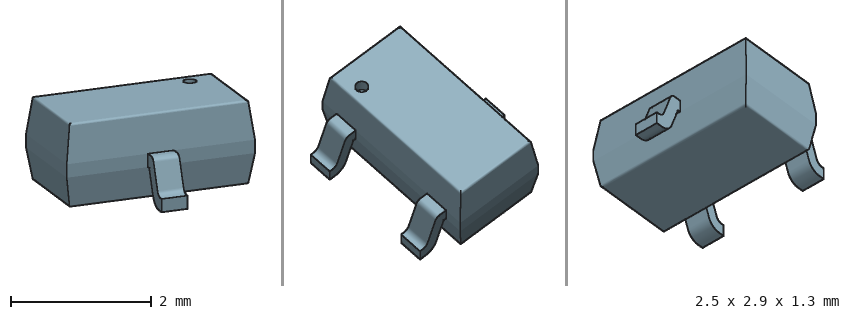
import cadquery as cq
import math


BODY_X = 1.5
BODY_Y = 2.9
BODY_BOTTOM = 0.05
BODY_TOP = 1.3
TAPER_INSET = 0.075
RIM_RADIUS = 0.035

MARK_DIAMETER = 0.188
MARK_DEPTH = 0.2
MARK_FROM_SIDE = 0.3

LEAD_SPAN = 2.5
LEAD_THICKNESS = 0.2
LEAD_WIDTH = 0.4
LEAD_PITCH = 1.9
LEAD_TOP = 0.725
SHIN_TILT = 20.5
KNEE_FROM_TOE = 0.315
KNEE_RADIUS = 0.1
ANKLE_INNER_RADIUS = 0.113
ANKLE_OUTER_RADIUS = 0.232

LEAD_BOTTOM = LEAD_TOP - LEAD_THICKNESS


def frustum(base_z, height):
    """Tapered half of the housing, growing up or down from its widest section."""
    return (
        cq.Workplane("XY", origin=(0, 0, base_z))
        .rect(BODY_X, BODY_Y)
        .workplane(offset=height)
        .rect(BODY_X - 2 * TAPER_INSET, BODY_Y - 2 * TAPER_INSET)
        .loft(ruled=True)
    )


def make_housing():
    """Straight band level with the leads, tapered above and below, with rounded rims."""
    band = cq.Workplane("XY", origin=(0, 0, LEAD_BOTTOM)).rect(BODY_X, BODY_Y).extrude(LEAD_THICKNESS)
    upper = frustum(LEAD_TOP, BODY_TOP - LEAD_TOP)
    lower = frustum(LEAD_BOTTOM, BODY_BOTTOM - LEAD_BOTTOM)
    body = band.union(upper).union(lower)
    body = body.faces(">Z or <Z").edges().fillet(RIM_RADIUS)
    mark = (
        cq.Workplane("XY", origin=(0, 0, BODY_TOP))
        .center(MARK_FROM_SIDE - BODY_X / 2, LEAD_PITCH / 2)
        .circle(MARK_DIAMETER / 2)
        .extrude(-MARK_DEPTH)
    )
    return body.cut(mark)


def make_lead(y):
    """Lead on the -X side, centred at y, ending flush against the housing band."""
    tilt = math.radians(SHIN_TILT)
    toe_x = -LEAD_SPAN / 2
    body_face_x = -BODY_X / 2

    upper_knee_x = toe_x + KNEE_FROM_TOE
    upper_ankle_x = upper_knee_x - (LEAD_TOP - LEAD_THICKNESS) * math.tan(tilt)
    corner_shift = LEAD_THICKNESS * math.tan((math.pi / 2 - tilt) / 2)
    upper_knee = (upper_knee_x, LEAD_TOP)
    upper_ankle = (upper_ankle_x, LEAD_THICKNESS)
    lower_knee = (upper_knee_x + corner_shift, LEAD_BOTTOM)
    lower_ankle = (upper_ankle_x + corner_shift, 0)

    outline = [
        (toe_x, 0),
        lower_ankle,
        lower_knee,
        (body_face_x, LEAD_BOTTOM),
        (body_face_x, LEAD_TOP),
        upper_knee,
        upper_ankle,
        (toe_x, LEAD_THICKNESS),
    ]
    lead = (
        cq.Workplane("XZ", origin=(0, y + LEAD_WIDTH / 2, 0))
        .polyline(outline)
        .close()
        .extrude(LEAD_WIDTH)
    )
    bends = [
        (upper_knee, KNEE_RADIUS),
        (upper_ankle, ANKLE_INNER_RADIUS),
        (lower_ankle, ANKLE_OUTER_RADIUS),
    ]
    for (x, z), radius in bends:
        lead = lead.edges(cq.selectors.NearestToPointSelector((x, y, z))).fillet(radius)
    return lead


housing = make_housing()
leads = [make_lead(y) for y in (-LEAD_PITCH / 2, LEAD_PITCH / 2)]
leads.append(make_lead(0).rotate((0, 0, 0), (0, 0, 1), 180))

result = cq.Compound.makeCompound([housing.val(), *[lead.val() for lead in leads]])